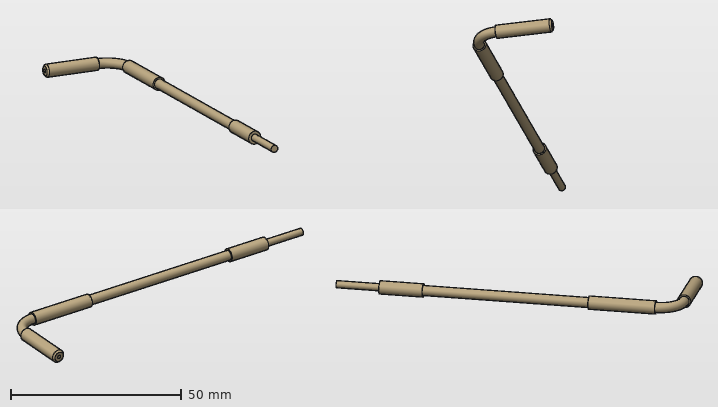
import cadquery as cq

total_length = 105.0
sleeve_diameter = 4.0
cable_diameter = 3.0
bare_end_diameter = 2.2
core_diameter = 1.0
bend_radius = 7.0
tip_length = 17.0
tip_chamfer = 0.5
sleeve_length = 20.1
ferrule_length = 13.0
bare_end_length = 13.0

end_x = total_length - sleeve_diameter / 2
sleeve_x = bend_radius
ferrule_end_x = end_x - bare_end_length
ferrule_x = ferrule_end_x - ferrule_length
tip_back_y = -bend_radius
tip_face_y = tip_back_y - tip_length


def rod_along_x(start_x, length, diameter):
    return cq.Workplane("YZ", origin=(start_x, 0, 0)).circle(diameter / 2).extrude(length)


def tube_along_x(start_x, length, bore_diameter):
    outside = rod_along_x(start_x, length, sleeve_diameter)
    return outside.cut(rod_along_x(start_x, length, bore_diameter))


def make_cable():
    """Bent cable with a stripped straight end and a bare core through the tip."""
    bend = (
        cq.Workplane("XZ", origin=(0, tip_back_y, 0))
        .circle(cable_diameter / 2)
        .revolve(90, (bend_radius, 0), (bend_radius, -1))
    )
    jacket = rod_along_x(sleeve_x, ferrule_x - sleeve_x, cable_diameter)
    bare_end = rod_along_x(ferrule_x, end_x - ferrule_x, bare_end_diameter)
    core = (
        cq.Workplane("XZ", origin=(0, tip_back_y, 0))
        .circle(core_diameter / 2)
        .extrude(tip_length)
    )
    return bend.union(jacket).union(bare_end).union(core)


def make_tip():
    """Tip on the short leg, chamfered at its face and bored for the core."""
    return (
        cq.Workplane("XZ", origin=(0, tip_back_y, 0))
        .circle(sleeve_diameter / 2)
        .extrude(tip_length)
        .faces("<Y")
        .chamfer(tip_chamfer)
        .cut(
            cq.Workplane("XZ", origin=(0, tip_back_y, 0))
            .circle(core_diameter / 2)
            .extrude(tip_length)
        )
    )


def make_sleeve():
    """Sleeve on the jacket, next to the bend."""
    return tube_along_x(sleeve_x, sleeve_length, cable_diameter)


def make_ferrule():
    """Ferrule on the stripped end, butted against the end of the jacket."""
    return tube_along_x(ferrule_x, ferrule_length, bare_end_diameter)


cable = make_cable()
tip = make_tip()
sleeve = make_sleeve()
ferrule = make_ferrule()

result = cq.Compound.makeCompound([cable.val(), tip.val(), sleeve.val(), ferrule.val()])